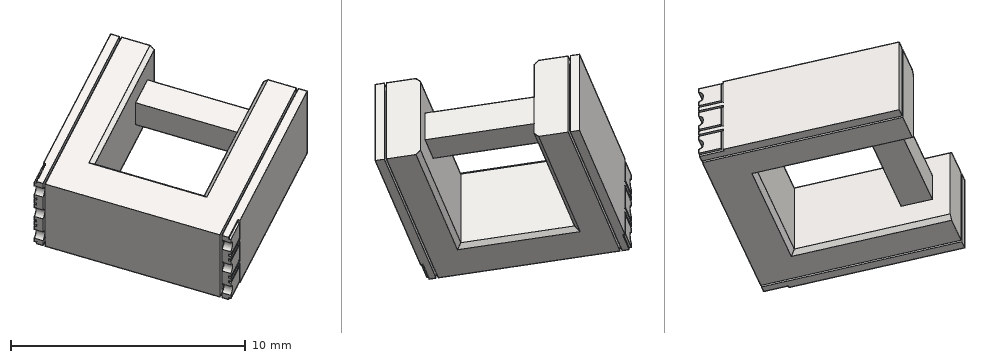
import cadquery as cq

LENGTH = 9.0
HEIGHT = 4.0

FRAME_WIDTH = 8.0
LEG_WIDTH = 2.0
FLOOR_WIDTH = 2.0
CHAMFER = 0.2

PLATE_THICKNESS = 0.405
WEB_INSET = 0.25

PAD_SIZE = 1.0
GROOVE_WIDTH = 0.1
GROOVE_DEPTH = 0.1
PAD_COUNT = 3
NOTCH_RADIUS = 0.3
NOTCH_OFFSET = 0.09

BAR_SETBACK = 0.8
BAR_WIDTH = 1.4
BAR_HEIGHT = 1.4

HALF = LENGTH / 2
HALF_HEIGHT = HEIGHT / 2
FRONT_Y = -HALF
FRAME_HALF = FRAME_WIDTH / 2
OPENING_HALF = HALF - LEG_WIDTH
FLOOR_Y = FRONT_Y + FLOOR_WIDTH
PAD_PITCH = (HEIGHT - PAD_SIZE - 2 * GROOVE_WIDTH) / (PAD_COUNT - 1)


def box(x0, x1, y0, y1, z0, z1):
    """Box between two opposite corners."""
    return cq.Workplane("XY").box(x1 - x0, y1 - y0, z1 - z0, centered=False).translate((x0, y0, z0))


def opening_flare():
    """Tapered cut that chamfers the upper inner edges of the U."""
    outline = [
        (OPENING_HALF, HALF_HEIGHT - CHAMFER),
        (OPENING_HALF + CHAMFER, HALF_HEIGHT),
        (-OPENING_HALF - CHAMFER, HALF_HEIGHT),
        (-OPENING_HALF, HALF_HEIGHT - CHAMFER),
    ]
    sides = cq.Workplane("XZ", origin=(0, HALF, 0)).polyline(outline).close().extrude(HALF - FLOOR_Y + CHAMFER)
    slope = (
        cq.Workplane("YZ", origin=(-HALF, 0, 0))
        .moveTo(FLOOR_Y, HALF_HEIGHT - CHAMFER)
        .lineTo(FLOOR_Y - CHAMFER, HALF_HEIGHT)
        .lineTo(HALF, HALF_HEIGHT)
        .lineTo(HALF, HALF_HEIGHT - CHAMFER)
        .close()
        .extrude(LENGTH)
    )
    return sides.intersect(slope)


def u_frame():
    """U-shaped core, open toward +Y."""
    core = box(-FRAME_HALF, FRAME_HALF, -HALF, HALF, -HALF_HEIGHT, HALF_HEIGHT)
    opening = box(-OPENING_HALF, OPENING_HALF, FLOOR_Y, HALF, -HALF_HEIGHT, HALF_HEIGHT)
    flare = opening_flare()
    return core.cut(opening).cut(flare).cut(flare.mirror("XY"))


def pad_groove(z):
    """Three-sided groove around one pad, on the -X plate."""
    floor_x = -HALF + GROOVE_DEPTH
    half_pad = PAD_SIZE / 2
    half_groove = half_pad + GROOVE_WIDTH
    pad_end = FRONT_Y + PAD_SIZE
    outer = box(-HALF, floor_x, FRONT_Y, pad_end + GROOVE_WIDTH, z - half_groove, z + half_groove)
    pad = box(-HALF, floor_x, FRONT_Y, pad_end, z - half_pad, z + half_pad)
    return outer.cut(pad)


def pad_notch(z):
    """Round notch through the -X plate at the end of one pad."""
    return (
        cq.Workplane("YZ", origin=(-HALF, FRONT_Y - NOTCH_OFFSET, z))
        .circle(NOTCH_RADIUS)
        .extrude(PLATE_THICKNESS)
    )


def left_plate():
    """-X plate with its pads, and the web that joins it to the frame."""
    plate_x = -HALF + PLATE_THICKNESS
    plate = box(-HALF, plate_x, -HALF, HALF, -HALF_HEIGHT, HALF_HEIGHT)
    for i in range(PAD_COUNT):
        z = (i - (PAD_COUNT - 1) / 2) * PAD_PITCH
        plate = plate.cut(pad_groove(z)).cut(pad_notch(z))
    web_y = HALF - WEB_INSET
    web_z = HALF_HEIGHT - WEB_INSET
    return plate.union(box(plate_x, -FRAME_HALF, -web_y, web_y, -web_z, web_z))


def cross_bar():
    """Bar that spans the opening between the legs."""
    back_y = HALF - BAR_SETBACK
    half_bar = BAR_HEIGHT / 2
    return box(-OPENING_HALF, OPENING_HALF, back_y - BAR_WIDTH, back_y, -half_bar, half_bar)


plate = left_plate()
housing = u_frame().union(plate).union(plate.mirror("YZ"))
bar = cross_bar()

result = cq.Compound.makeCompound([housing.val(), bar.val()])